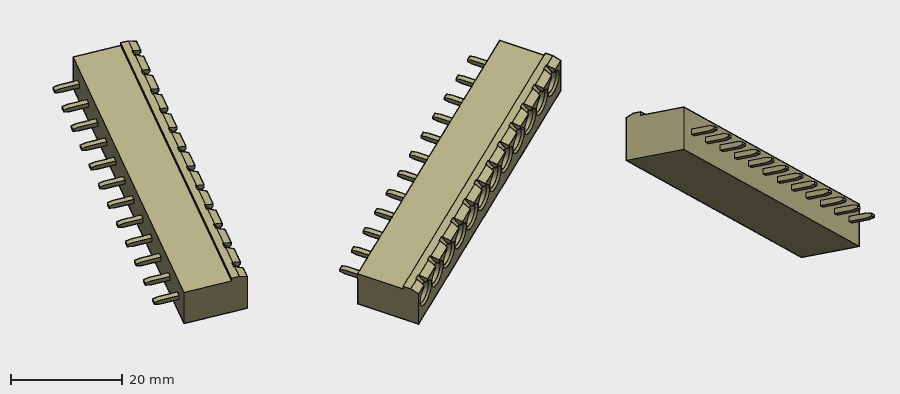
import cadquery as cq
import math

length = 62.25
overall_depth = 16.8
body_depth = 12.1
body_height = 8.1

total_height = 8.8
ridge_depth = 3.05
ridge_slope_depth = 1.55
rear_height = 8.15

contact_count = 12
end_margin = 3.2
pitch = (length - 2 * end_margin) / (contact_count - 1)

pin_size = 1.0
pin_axis_height = 4.2
pin_length = overall_depth - body_depth
pin_taper_length = 1.0
pin_tip_height = 0.5

socket_radius = 2.05
socket_axis_height = 5.2
socket_flare = 0.45
socket_depth = 7.5

notch_rear_width = 1.6
notch_front_width = 1.0
notch_depth = 1.75
notch_steep_depth = 0.9
notch_steep_angle = 56.0

contact_xs = [(i - (contact_count - 1) / 2) * pitch for i in range(contact_count)]
rear_y = body_depth


def make_housing():
    """Block with a sloped locking ridge along its rear top edge."""
    return (
        cq.Workplane("YZ")
        .polyline([
            (0, 0),
            (rear_y, 0),
            (rear_y, rear_height),
            (rear_y - ridge_slope_depth, total_height),
            (rear_y - ridge_depth, total_height),
            (rear_y - ridge_depth, body_height),
            (0, body_height),
        ])
        .close()
        .extrude(length / 2, both=True)
    )


def make_pin(x):
    """Square pin pointing to -Y with its top and bottom tapered at the tip."""
    half = pin_size / 2
    half_tip = pin_tip_height / 2
    return (
        cq.Workplane("YZ")
        .polyline([
            (0, -half),
            (0, half),
            (pin_taper_length - pin_length, half),
            (-pin_length, half_tip),
            (-pin_length, -half_tip),
            (pin_taper_length - pin_length, -half),
        ])
        .close()
        .extrude(pin_size / 2, both=True)
        .translate((x, 0, pin_axis_height))
    )


def make_socket(x):
    """Cutter for one round socket with a flared mouth at the rear face."""
    return (
        cq.Workplane("XY")
        .polyline([
            (0, rear_y),
            (socket_radius + socket_flare, rear_y),
            (socket_radius, rear_y - socket_flare),
            (socket_radius, rear_y - socket_depth),
            (0, rear_y - socket_depth),
        ])
        .close()
        .revolve(360, (0, 0, 0), (0, 1, 0))
        .translate((x, 0, socket_axis_height))
    )


def make_notch(x):
    """Cutter narrowing toward the front, its floor falling steeply, then at 45 degrees to the rear."""
    front_y = rear_y - notch_depth
    steep_drop = notch_steep_depth * math.tan(math.radians(notch_steep_angle))
    rear_run = notch_depth - notch_steep_depth
    outline = (
        cq.Workplane("XY")
        .polyline([
            (-notch_rear_width / 2, rear_y),
            (-notch_front_width / 2, front_y),
            (notch_front_width / 2, front_y),
            (notch_rear_width / 2, rear_y),
        ])
        .close()
        .extrude(total_height)
    )
    section = (
        cq.Workplane("YZ")
        .polyline([
            (front_y, total_height),
            (front_y + notch_steep_depth, total_height - steep_drop),
            (rear_y, total_height - steep_drop - rear_run),
            (rear_y, total_height),
        ])
        .close()
        .extrude(notch_rear_width, both=True)
    )
    return outline.intersect(section).translate((x, 0, 0))


result = make_housing()
for contact_x in contact_xs:
    result = result.union(make_pin(contact_x))
    result = result.cut(make_socket(contact_x))
    result = result.cut(make_notch(contact_x))